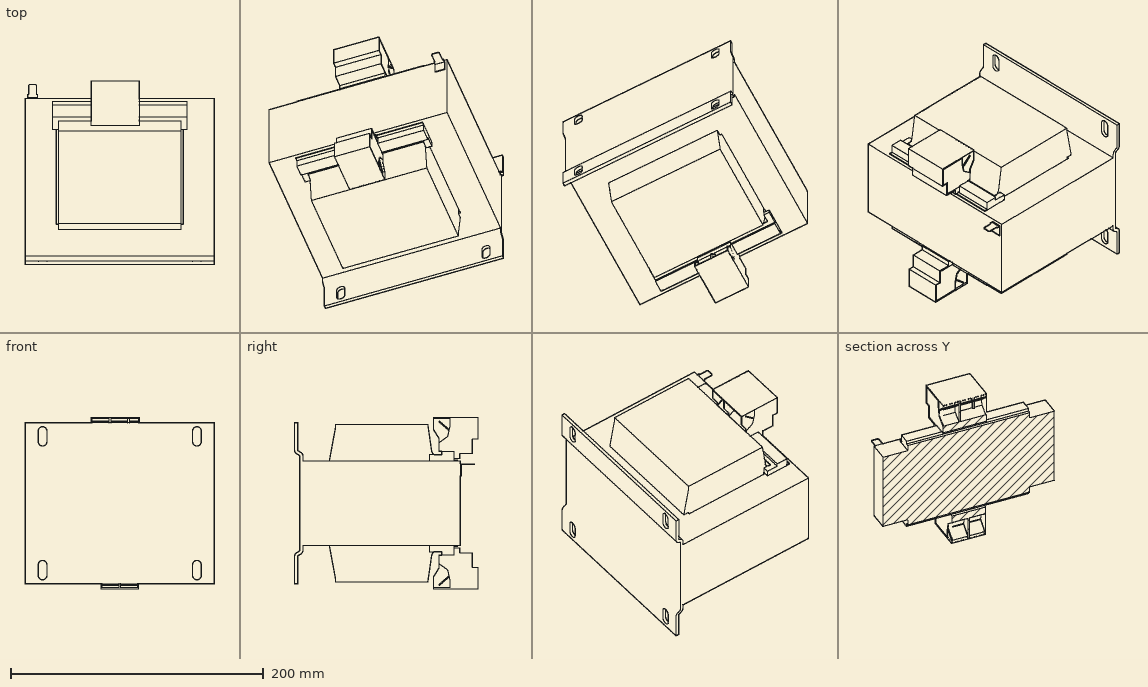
import cadquery as cq
import math


core_width = 150.0
core_half_height = 33.6
core_front = 6.9
core_back = 131.5
window_width = 100.5
window_front = 32.1
window_back = 106.8

sheet = 2.7
flange_tip = 63.9
web_half_height = 37.2
bend_angle = math.radians(60)
bend_radius = 2.2
slot_length = 15.2
slot_width = 6.8
slot_spacing = 122.2
slot_height = 53.0

coil_width = 97.2
coil_front = 27.6
coil_top = 62.4
coil_shoulder = 59.5
coil_shoulder_front = 32.4
coil_top_back = 105.8
coil_hip = 41.5
coil_hip_back = 108.8
coil_skirt = 37.8
coil_skirt_back = 113.5

bobbin_width = 106.8
bobbin_front = 107.1
bobbin_plate_top = 38.5
rail_front = 116.7
rail_back = 126.5
rail_top = 41.1
foot_back = 129.0
foot_top = 34.4

block_top = 68.0
block_back = 145.5
block_front = 110.1
block_step_back = 141.0
block_step = 50.8
block_bottom = 39.3
block_neck_front = 114.5
block_neck_top = 51.3
block_lip = 58.4
hook_back = 131.1
hook_bottom = 35.4
upper_block_start = -22.6
cell_pitch = 14.8
end_cell = 8.5
cell_wall = 0.8
pocket_roof = 66.9
pocket_back = 123.2
rib_front = 120.0

pocket_edge = [(pocket_back, 60.6), (121.4, 52.8), (block_neck_front, 47.8)]

tongue_rear = (122.8, 57.6)
tongue_front = (114.6, 64.8)
tongue_thickness = 0.8

panel_margin = 1.2
panel_depth = 0.2

tab_x = -69.0
tab_base_width = 8.1
tab_blade_width = 6.5
tab_sheet = 0.6
tab_top = 31.2
tab_leg_bottom = 21.6
tab_base_back = 134.7
tab_tip = 142.6
tab_chamfer = 0.8


def box(x_range, y_range, z_range):
    """Box spanning the three given ranges."""
    sizes = [high - low for low, high in (x_range, y_range, z_range)]
    corner = (x_range[0], y_range[0], z_range[0])
    return cq.Workplane("XY").box(*sizes, centered=False).translate(corner)


def side_profile(x_start):
    """Sketch plane whose local axes are Y and Z, extruding toward +X."""
    return cq.Workplane("YZ", origin=(x_start, 0, 0))


def centred(width):
    return (-width / 2, width / 2)


def with_mirror(upper):
    """The upper body together with its mirror image below the core."""
    return upper.union(upper.mirror("XY"))


def make_core():
    height = (-core_half_height, core_half_height)
    body = box(centred(core_width), (core_front, core_back), height)
    return body.cut(box(centred(window_width), (window_front, window_back), height))


def jog_points(offset):
    """Points of the upper jog, shifted forward of the sheet's middle by offset."""
    middle = core_front - sheet / 2
    shift = core_front - sheet
    straight = (shift - 2 * bend_radius * (1 - math.cos(bend_angle))) / math.sin(bend_angle)
    rise = 2 * bend_radius * math.sin(bend_angle) + straight * math.cos(bend_angle)

    def first_bend(angle):
        radius = bend_radius - offset
        y = middle - bend_radius + radius * math.cos(angle)
        return (y, web_half_height + radius * math.sin(angle))

    def second_bend(angle):
        radius = bend_radius + offset
        y = middle - shift + bend_radius - radius * math.cos(angle)
        return (y, web_half_height + rise - radius * math.sin(angle))

    half = bend_angle / 2
    first = [first_bend(0), first_bend(half), first_bend(bend_angle)]
    second = [second_bend(bend_angle), second_bend(half), second_bend(0)]
    return first, second


def make_plate():
    back_first, back_second = jog_points(-sheet / 2)
    face_first, face_second = jog_points(sheet / 2)
    upper_half = (
        side_profile(-core_width / 2)
        .moveTo(core_front, 0)
        .lineTo(*back_first[0])
        .threePointArc(*back_first[1:])
        .lineTo(*back_second[0])
        .threePointArc(*back_second[1:])
        .lineTo(sheet, flange_tip)
        .lineTo(0, flange_tip)
        .lineTo(*face_second[2])
        .threePointArc(face_second[1], face_second[0])
        .lineTo(*face_first[2])
        .threePointArc(face_first[1], face_first[0])
        .lineTo(core_front - sheet, 0)
        .close()
        .extrude(core_width)
    )
    slots = (
        cq.Workplane("XZ")
        .rarray(slot_spacing, 2 * slot_height, 2, 2)
        .slot2D(slot_length, slot_width, 90)
        .extrude(-sheet)
    )
    return with_mirror(upper_half).cut(slots)


def make_winding():
    upper_half = (
        side_profile(-coil_width / 2)
        .moveTo(window_front, 0)
        .lineTo(window_front, core_half_height)
        .lineTo(coil_front, core_half_height)
        .lineTo(coil_shoulder_front, coil_shoulder)
        .lineTo(coil_shoulder_front, coil_top)
        .lineTo(coil_top_back, coil_top)
        .lineTo(coil_hip_back, coil_hip)
        .tangentArcPoint((coil_skirt_back, coil_skirt), relative=False)
        .lineTo(coil_skirt_back, core_half_height)
        .lineTo(window_back, core_half_height)
        .lineTo(window_back, 0)
        .close()
        .extrude(coil_width)
    )
    return with_mirror(upper_half)


def make_bobbin():
    """Upper bobbin end: a plate, the raised terminal rail and a low foot behind it."""
    width = centred(bobbin_width)
    plate = box(width, (bobbin_front, rail_front), (core_half_height, bobbin_plate_top))
    coil_notch = box(centred(coil_width), (bobbin_front, coil_skirt_back), (core_half_height, rail_top))
    rail = box(width, (rail_front, rail_back), (core_half_height, rail_top))
    foot = box(width, (rail_back, foot_back), (core_half_height, foot_top))
    return plate.cut(coil_notch).union(rail).union(foot)


def panel_outline(x_start):
    """Outline on the block's end face, set in from its rear edges."""
    low = block_bottom + panel_margin
    step = block_step + panel_margin / 2
    return side_profile(x_start).polyline([
        (block_back - panel_margin, pocket_roof),
        (pocket_back, pocket_roof),
        *pocket_edge,
        (block_neck_front, rail_top),
        (rail_back, rail_top),
        (rail_back, low),
        (block_step_back - panel_margin, low),
        (block_step_back - panel_margin, step),
        (block_back - panel_margin, step),
    ]).close()


def tongue(x_start, length):
    """Thin sloping slab running along X."""
    span_y = tongue_front[0] - tongue_rear[0]
    span_z = tongue_front[1] - tongue_rear[1]
    slope = math.degrees(math.atan2(span_z, span_y))
    centre_y = (tongue_front[0] + tongue_rear[0]) / 2
    centre_z = (tongue_front[1] + tongue_rear[1]) / 2
    return (
        cq.Workplane("YZ", origin=(x_start, centre_y, centre_z))
        .transformed(rotate=(0, 0, slope))
        .rect(math.hypot(span_y, span_z), tongue_thickness)
        .extrude(length)
    )


def make_pocket(x_start, width):
    """Wire pocket cavity, open toward the front of the block."""
    return (
        side_profile(x_start)
        .polyline([
            (block_front, pocket_roof),
            (pocket_back, pocket_roof),
            *pocket_edge,
            (block_front, pocket_edge[-1][1]),
        ])
        .close()
        .extrude(width)
    )


def make_module(x_start, cells):
    """Upper terminal module with one pocket, short rear ribs parting its cells of the given widths."""
    width = sum(cells)
    body = (
        side_profile(x_start)
        .polyline([
            (block_front, block_top),
            (block_back, block_top),
            (block_back, block_step),
            (block_step_back, block_step),
            (block_step_back, block_bottom),
            (hook_back, block_bottom),
            (hook_back, hook_bottom),
            (rail_back, hook_bottom),
            (rail_back, rail_top),
            (block_neck_front, rail_top),
            (block_neck_front, block_neck_top),
            (block_front, block_lip),
        ])
        .close()
        .extrude(width)
    )
    body = body.cut(make_pocket(x_start + cell_wall, width - 2 * cell_wall))
    cell_start = x_start
    for cell in cells:
        body = body.union(tongue(cell_start + cell_wall, cell - 2 * cell_wall))
        cell_start += cell
        if cell_start < x_start + width:
            rib_x = (cell_start - cell_wall, cell_start + cell_wall)
            body = body.union(box(rib_x, (rib_front, pocket_back), (pocket_edge[1][1], pocket_roof)))
    return body


def make_block(x_start, modules):
    """Upper terminal block: modules side by side, with the recess in the first end face."""
    module_start = x_start
    block = cq.Workplane()
    for cells in modules:
        block = block.union(make_module(module_start, cells))
        module_start += sum(cells)
    panel = panel_outline(x_start).extrude(panel_depth)
    return block.cut(panel).cut(tongue(x_start, panel_depth))


def make_earth_tab():
    base = (tab_x - tab_base_width / 2, tab_x + tab_base_width / 2)
    blade = (tab_x - tab_blade_width / 2, tab_x + tab_blade_width / 2)
    blade_height = (tab_top - tab_sheet, tab_top)
    leg = box(base, (core_back, core_back + tab_sheet), (tab_leg_bottom, tab_top))
    shoulder = box(base, (core_back, tab_base_back), blade_height)
    blade_sheet = box(blade, (core_back, tab_tip), blade_height)
    blade_sheet = blade_sheet.edges("|Z and >Y").chamfer(tab_chamfer)
    return leg.union(shoulder).union(blade_sheet)


upper_block = make_block(upper_block_start, [[cell_pitch], [cell_pitch, end_cell]])
lower_block = make_block(-cell_pitch, [[cell_pitch], [cell_pitch]]).mirror("XY")

result = (
    make_core()
    .union(make_plate())
    .union(make_winding())
    .union(with_mirror(make_bobbin()))
    .union(upper_block)
    .union(lower_block)
    .union(make_earth_tab())
)